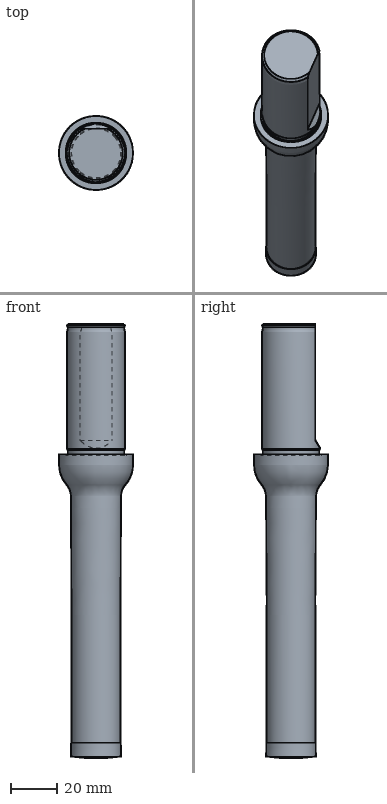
import cadquery as cq
import math

total_length = 187.0

tip_diameter = 21.7
tip_upper_diameter = 21.5
tip_point_diameter = 7.5
tip_cone_height = 0.7
tip_top = 6.7

stem_diameter = 21.1
stem_top = 61.7
neck_diameter = tip_diameter
taper_top = 107.7
neck_top = 112.8

collar_diameter = 32.0
collar_bottom = 126.2
collar_top = 130.9
neck_fillet_radius = 7.5
face_groove_diameter = 26.2
face_groove_depth = 0.5

bowl_width = (collar_diameter - neck_diameter) / 2
bowl_height = collar_bottom - neck_top
arc_radius_sum = (bowl_width**2 + bowl_height**2) / (2 * bowl_width)
bowl_radius = arc_radius_sum - neck_fillet_radius
arc_angle = math.asin(bowl_height / arc_radius_sum)

shank_diameter = 25.0
relief_diameter = 24.5
shank_bottom = 132.5
shank_lead_in = 0.5
upper_relief_bottom = 183.5
upper_relief_top = 184.5
rim_bottom = 185.5
rim_top = 186.3
top_face_diameter = 23.0

flat_distance = 10.5
runout_bottom = 133.5
runout_height = 3.4


def make_tip():
    """Short plug tapering slightly upwards, with a shallow blunt cone below."""
    return (
        cq.Workplane("XZ")
        .lineTo(tip_point_diameter / 2, 0)
        .lineTo(tip_diameter / 2, tip_cone_height)
        .lineTo(tip_upper_diameter / 2, tip_top)
        .lineTo(0, tip_top)
        .close()
        .revolve(360, (0, 0), (0, 1))
    )


def fillet_point(angle):
    """Radius and height on the neck fillet, at an angle measured from its lower end."""
    return (
        neck_diameter / 2 + neck_fillet_radius * (1 - math.cos(angle)),
        neck_top + neck_fillet_radius * math.sin(angle),
    )


def bowl_point(angle):
    """Radius and height on the bowl arc, at an angle measured from its upper end."""
    return (
        collar_diameter / 2 - bowl_radius * (1 - math.cos(angle)),
        collar_bottom - bowl_radius * math.sin(angle),
    )


def make_turned_holder():
    """Stem, collar and shank as one turned shape."""
    stem_radius = stem_diameter / 2
    neck_radius = neck_diameter / 2
    collar_radius = collar_diameter / 2
    groove_radius = face_groove_diameter / 2
    relief_radius = relief_diameter / 2
    shank_radius = shank_diameter / 2
    return (
        cq.Workplane("XZ")
        .moveTo(0, tip_top)
        .lineTo(stem_radius, tip_top)
        .lineTo(stem_radius, stem_top)
        .lineTo(neck_radius, taper_top)
        .lineTo(neck_radius, neck_top)
        .threePointArc(fillet_point(arc_angle / 2), fillet_point(arc_angle))
        .threePointArc(bowl_point(arc_angle / 2), bowl_point(0))
        .lineTo(collar_radius, collar_top)
        .lineTo(groove_radius, collar_top)
        .lineTo(groove_radius, collar_top - face_groove_depth)
        .lineTo(relief_radius, collar_top - face_groove_depth)
        .lineTo(relief_radius, shank_bottom)
        .lineTo(shank_radius, shank_bottom + shank_lead_in)
        .lineTo(shank_radius, upper_relief_bottom)
        .lineTo(relief_radius, upper_relief_top)
        .lineTo(relief_radius, rim_bottom)
        .lineTo(shank_radius, rim_top)
        .lineTo(top_face_diameter / 2, total_length)
        .lineTo(0, total_length)
        .close()
        .revolve(360, (0, 0), (0, 1))
    )


def make_flat_cutter():
    """Material removed beside the flat, with a floor sloping down to the outside."""
    outer_y = shank_diameter / 2
    return (
        cq.Workplane("YZ")
        .moveTo(flat_distance, total_length)
        .lineTo(flat_distance, runout_bottom + runout_height)
        .lineTo(outer_y, runout_bottom)
        .lineTo(outer_y, total_length)
        .close()
        .extrude(shank_diameter / 2, both=True)
    )


tip = make_tip()
holder = make_turned_holder().cut(make_flat_cutter())

result = cq.Compound.makeCompound([tip.val(), holder.val()])